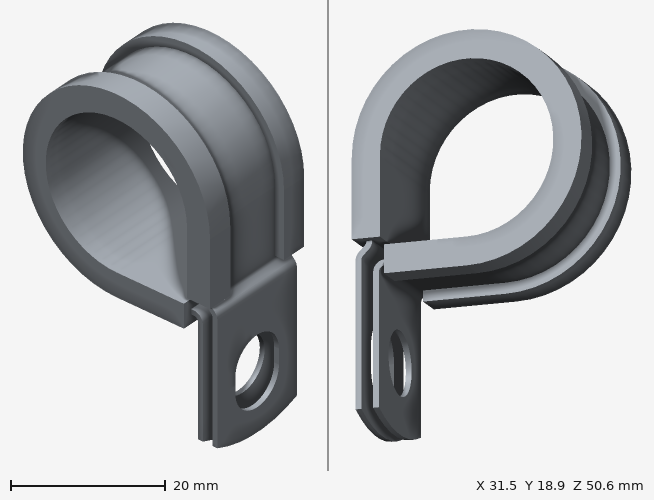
import math

import cadquery as cq


diagonal = math.sqrt(0.5)

outer_radius = 15.77
inner_radius = 11.9
cushion_width = 18.92
down_arm_length = 10.82
side_arm_length = 11.36

groove_width = 10.8
groove_depth = 1.49
groove_radius = outer_radius - groove_depth

strap_width = 16.0
strap_thickness = 0.8
strap_overlap = 1.0
bend_inner_radius = 0.8
bend_outer_radius = bend_inner_radius + strap_thickness
step_angle = math.radians(45)

leg_bottom = -34.85
leg_corner_z = -33.2
inner_leg_face = 13.35
hole_diameter = 8.76
slot_extra_length = 2.5
hole_z = -25.3


def loop_profile(radius):
    """Closed outline: three-quarter circle with both arms run out to a square corner."""
    return (
        cq.Workplane("XZ")
        .moveTo(radius, 0)
        .threePointArc((-radius * diagonal, radius * diagonal), (0, -radius))
        .lineTo(radius, -radius)
        .close()
    )


def loop_solid(radius, width):
    """Filled loop outline, centred on Y."""
    return loop_profile(radius).extrude(width / 2, both=True)


def box_between(x_range, z_range, width):
    """Box spanning the given X and Z ranges, centred on Y."""
    length = x_range[1] - x_range[0]
    height = z_range[1] - z_range[0]
    return cq.Workplane("XY").box(length, width, height).translate(
        (sum(x_range) / 2, 0, sum(z_range) / 2)
    )


def make_cushion():
    """Grooved loop, opened at the lower +X corner so that the two arms end apart."""
    rim_width = (cushion_width - groove_width) / 2
    rim_offset = (cushion_width - rim_width) / 2
    cushion = loop_solid(groove_radius, cushion_width)
    for side in (-1, 1):
        rim = loop_solid(outer_radius, rim_width).translate((0, side * rim_offset, 0))
        cushion = cushion.union(rim)
    cushion = cushion.cut(loop_solid(inner_radius, cushion_width))
    below_down_arm = box_between(
        (inner_radius, outer_radius), (-outer_radius, -down_arm_length), cushion_width
    )
    beyond_side_arm = box_between(
        (side_arm_length, outer_radius), (-outer_radius, -inner_radius), cushion_width
    )
    return cushion.cut(below_down_arm).cut(beyond_side_arm)


def make_inner_leg():
    """Strap end leaving the side arm and bending 90 degrees down."""
    bend_x = inner_leg_face - bend_outer_radius
    bend_z = -groove_radius + strap_thickness - bend_outer_radius
    start_x = side_arm_length - strap_overlap
    return (
        cq.Workplane("XZ")
        .moveTo(start_x, bend_z + bend_outer_radius)
        .lineTo(bend_x, bend_z + bend_outer_radius)
        .threePointArc(
            (bend_x + bend_outer_radius * diagonal, bend_z + bend_outer_radius * diagonal),
            (bend_x + bend_outer_radius, bend_z),
        )
        .lineTo(bend_x + bend_outer_radius, leg_bottom)
        .lineTo(bend_x + bend_inner_radius, leg_bottom)
        .lineTo(bend_x + bend_inner_radius, bend_z)
        .threePointArc(
            (bend_x + bend_inner_radius * diagonal, bend_z + bend_inner_radius * diagonal),
            (bend_x, bend_z + bend_inner_radius),
        )
        .lineTo(start_x, bend_z + bend_inner_radius)
        .close()
        .extrude(strap_width / 2, both=True)
    )


def make_outer_leg():
    """Strap end leaving the down arm and stepping out, by two equal bends, to the outer face."""
    upper_x = groove_radius + bend_inner_radius
    upper_z = -down_arm_length
    lower_x = outer_radius - bend_outer_radius
    bend_radius_sum = bend_inner_radius + bend_outer_radius
    bend_x_step = bend_radius_sum * math.cos(step_angle)
    straight_drop = (lower_x - upper_x + bend_x_step) / math.tan(step_angle)
    lower_z = upper_z - bend_radius_sum * math.sin(step_angle) - straight_drop

    def upper_bend(radius, angle):
        return (upper_x - radius * math.cos(angle), upper_z - radius * math.sin(angle))

    def lower_bend(radius, angle):
        return (lower_x + radius * math.cos(angle), lower_z + radius * math.sin(angle))

    half_angle = step_angle / 2
    start_z = upper_z + strap_overlap
    return (
        cq.Workplane("XZ")
        .moveTo(groove_radius, start_z)
        .lineTo(groove_radius, upper_z)
        .threePointArc(
            upper_bend(bend_inner_radius, half_angle),
            upper_bend(bend_inner_radius, step_angle),
        )
        .lineTo(*lower_bend(bend_outer_radius, step_angle))
        .threePointArc(
            lower_bend(bend_outer_radius, half_angle),
            lower_bend(bend_outer_radius, 0),
        )
        .lineTo(outer_radius, leg_bottom)
        .lineTo(outer_radius - strap_thickness, leg_bottom)
        .lineTo(outer_radius - strap_thickness, lower_z)
        .threePointArc(
            lower_bend(bend_inner_radius, half_angle),
            lower_bend(bend_inner_radius, step_angle),
        )
        .lineTo(*upper_bend(bend_outer_radius, step_angle))
        .threePointArc(
            upper_bend(bend_outer_radius, half_angle),
            upper_bend(bend_outer_radius, 0),
        )
        .lineTo(groove_radius - strap_thickness, start_z)
        .close()
        .extrude(strap_width / 2, both=True)
    )


def make_leg_envelope():
    """Side outline of a leg, rounded at the bottom."""
    half_width = strap_width / 2
    return (
        cq.Workplane("YZ")
        .moveTo(-half_width, 0)
        .lineTo(-half_width, leg_corner_z)
        .threePointArc((0, leg_bottom), (half_width, leg_corner_z))
        .lineTo(half_width, 0)
        .close()
        .extrude(outer_radius)
    )


def make_round_hole():
    """Bolt hole through the inner leg."""
    return cq.Workplane("YZ").moveTo(0, hole_z).circle(hole_diameter / 2).extrude(outer_radius)


def make_slotted_hole():
    """Bolt slot through the outer leg, long in Z to allow for adjustment."""
    return (
        cq.Workplane("YZ")
        .moveTo(0, hole_z)
        .slot2D(hole_diameter + slot_extra_length, hole_diameter, angle=90)
        .extrude(outer_radius)
    )


inner_leg = make_inner_leg().intersect(make_leg_envelope()).cut(make_round_hole())
outer_leg = make_outer_leg().intersect(make_leg_envelope()).cut(make_slotted_hole())
result = make_cushion().union(inner_leg).union(outer_leg)